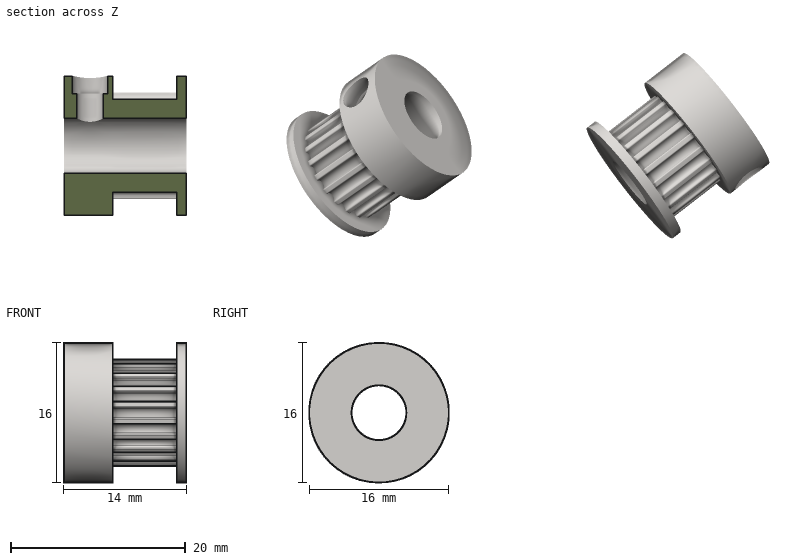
import cadquery as cq
import math

total_length = 14.0
hub_length = 5.6
flange_thickness = 1.1
belt_width = total_length - hub_length - flange_thickness

flange_diameter = 16.0
bore_diameter = 6.24

set_screw_diameter = 3.0
set_screw_x = 3.0
counterbore_diameter = 4.0
counterbore_depth = 2.0

tooth_count = 20
tooth_radius = 6.138

groove_depth = 0.75
lip_radius = 0.15
flank_radius = 1.0
flank_center_offset = 0.4
root_radius = 0.555
mouth_half_width = math.sqrt((flank_radius + lip_radius) ** 2 - lip_radius**2) - flank_center_offset
mouth_depth = math.sqrt(tooth_radius**2 - mouth_half_width**2)

cutter_overshoot = 0.5


def cylinder(start_x, length, diameter):
    """Solid cylinder along +X starting at start_x."""
    return cq.Workplane("YZ").workplane(offset=start_x).circle(diameter / 2).extrude(length)


def arc_point(center, radius, angle):
    """Point (half width, depth) on an arc, with the angle in radians growing with depth."""
    return (center[0] + radius * math.cos(angle), center[1] + radius * math.sin(angle))


def groove_cutter():
    """Prism of one belt groove opening towards +Y, built from mutually tangent arcs."""
    flank_center = (-flank_center_offset, 0)
    root_center_depth = groove_depth - root_radius
    lip_center = (mouth_half_width, lip_radius)

    lip_angle = math.asin(lip_radius / (flank_radius + lip_radius))
    root_angle = math.atan2(root_center_depth, flank_center_offset)

    mouth = (mouth_half_width, 0)
    outside = (mouth_half_width, -cutter_overshoot)
    lip_middle = arc_point(lip_center, lip_radius, math.pi + (lip_angle + math.pi / 2) / 2)
    lip_end = arc_point(flank_center, flank_radius, lip_angle)
    flank_middle = arc_point(flank_center, flank_radius, (lip_angle + root_angle) / 2)
    flank_end = arc_point(flank_center, flank_radius, root_angle)
    root = (0, groove_depth)

    def at(point, side):
        half_width, depth = point
        return (mouth_depth - depth, side * half_width)

    return (
        cq.Workplane("YZ")
        .workplane(offset=hub_length)
        .moveTo(*at(outside, 1))
        .lineTo(*at(mouth, 1))
        .threePointArc(at(lip_middle, 1), at(lip_end, 1))
        .threePointArc(at(flank_middle, 1), at(flank_end, 1))
        .threePointArc(at(root, 1), at(flank_end, -1))
        .threePointArc(at(flank_middle, -1), at(lip_end, -1))
        .threePointArc(at(lip_middle, -1), at(mouth, -1))
        .lineTo(*at(outside, -1))
        .close()
        .extrude(belt_width)
    )


def toothed_barrel():
    """Belt-carrying barrel with evenly spaced grooves, one of them facing +Y."""
    barrel = cylinder(hub_length, belt_width, 2 * tooth_radius)
    cutter = groove_cutter()
    for index in range(tooth_count):
        angle = index * 360 / tooth_count
        barrel = barrel.cut(cutter.rotate((0, 0, 0), (1, 0, 0), angle))
    return barrel


def radial_cylinder(start_y, diameter):
    """Solid cylinder along +Y on the set screw axis, from start_y to the hub rim."""
    return (
        cq.Workplane("XZ", origin=(set_screw_x, start_y, 0))
        .circle(diameter / 2)
        .extrude(start_y - flange_diameter / 2)
    )


def set_screw_hole():
    """Counterbored radial hole from the +Y side of the hub into the bore."""
    shank = radial_cylinder(0, set_screw_diameter)
    counterbore = radial_cylinder(flange_diameter / 2 - counterbore_depth, counterbore_diameter)
    return shank.union(counterbore)


hub = cylinder(0, hub_length, flange_diameter)
flange = cylinder(total_length - flange_thickness, flange_thickness, flange_diameter)
bore = cylinder(0, total_length, bore_diameter)

result = hub.union(toothed_barrel()).union(flange).cut(bore).cut(set_screw_hole())